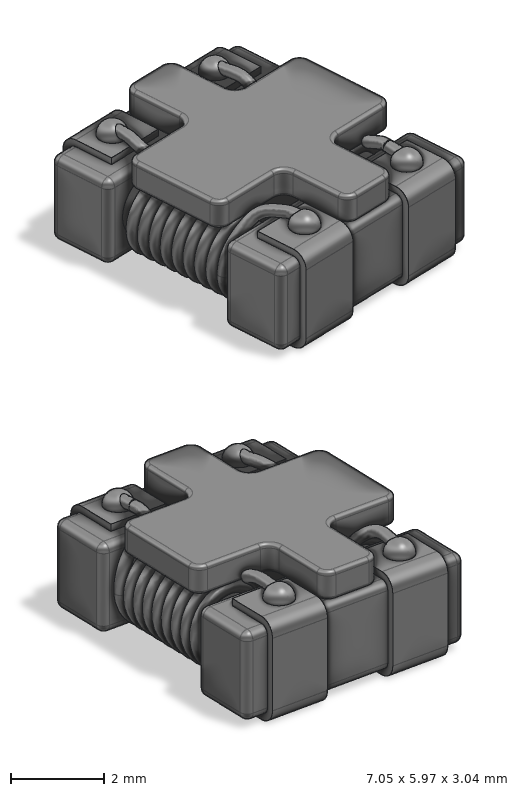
import cadquery as cq
import math

block_inner_x = 1.667
block_outer_x = 3.35
block_length = 5.97
block_bottom_z = 0.175
block_top_z = 2.348
block_fillet = 0.2

terminal_outer_x = 3.525
terminal_inner_x = 2.12
terminal_width = 1.5
terminal_y = 1.64
terminal_thickness = terminal_outer_x - block_outer_x
terminal_bottom_z = block_bottom_z - terminal_thickness
terminal_top_z = block_top_z + terminal_thickness

web_thickness = 0.43
web_bottom_z = 0.02

core_diameter = 1.5
core_y = 1.785
core_z = 1.26
wire_diameter = 0.29
coil_clearance = 0.005
coil_radius = core_diameter / 2 + wire_diameter / 2 + coil_clearance
coil_pitch = 0.33
coil_turns = 8.5
coil_circumference = 2 * math.pi * coil_radius
coil_half_length = coil_pitch * coil_turns / 2

ball_radius = 0.355
ball_x = 2.72
lead_z = 2.7

cap_half_x = 3.25
cap_half_y = 2.755
arm_half_width_x = 1.355
arm_half_width_y = 0.74
cap_top_z = 3.04
cap_corner_radius = 0.29
cap_top_fillet = 0.1
cap_bottom_fillet = 0.075


def box_between(x0, x1, y0, y1, z0, z1):
    return cq.Workplane("XY").box(x1 - x0, y1 - y0, z1 - z0, centered=False).translate((x0, y0, z0))


def end_block(side):
    """Rounded block on the +X (side = 1) or -X (side = -1) end."""
    block = box_between(
        block_inner_x, block_outer_x, -block_length / 2, block_length / 2, block_bottom_z, block_top_z
    )
    block = block.edges().fillet(block_fillet)
    return block if side > 0 else block.mirror("YZ")


def terminal(side, y):
    """C-shaped metal strip wrapped around the outer face of an end block."""
    y0 = y - terminal_width / 2
    y1 = y + terminal_width / 2
    strip = box_between(terminal_inner_x, terminal_outer_x, y0, y1, terminal_bottom_z, terminal_top_z)
    strip = strip.edges("|Y and >X").fillet(block_fillet + terminal_thickness)
    inside = box_between(terminal_inner_x, block_outer_x, y0, y1, block_bottom_z, block_top_z)
    strip = strip.cut(inside.edges("|Y and >X").fillet(block_fillet))
    return strip if side > 0 else strip.mirror("YZ")


def web():
    """Wall on the centre plane that joins the blocks and the cap."""
    return box_between(
        -terminal_inner_x, terminal_inner_x, -web_thickness / 2, web_thickness / 2, web_bottom_z, block_top_z
    )


def core(row):
    """Round bar between the end blocks, run past their rounded edges so that it joins them."""
    half_length = block_inner_x + block_fillet
    bar = cq.Workplane("YZ").center(row * core_y, core_z).circle(core_diameter / 2)
    return bar.extrude(half_length, both=True)


def solder_ball(side, y):
    """Ball centred on a terminal's top, with its seam away from the wire."""
    ball = cq.Workplane("XY").sphere(ball_radius).translate((ball_x, y, terminal_top_z))
    return ball if side > 0 else ball.mirror("YZ")


def winding(row, start_bends, start_ball_y, end_bends, end_ball_y):
    """One wire with a solder ball at each end: down to the coil, along it and up again.

    The coil begins on the inner side of the core at -X and ends on its outer side at +X.
    Bends are listed from the coil to the ball; their Y counts away from the part's centre plane.
    """
    helix = cq.Wire.makeHelix(coil_pitch, coil_pitch * coil_turns, coil_radius)
    helix = helix.rotate(cq.Vector(0, 0, 0), cq.Vector(1, 1, 1), 120)
    helix = helix.rotate(cq.Vector(0, 0, 0), cq.Vector(1, 0, 0), 180)
    helix = helix.translate(cq.Vector(-coil_half_length, core_y, core_z))

    coil_start = (-coil_half_length, core_y - coil_radius, core_z)
    coil_end = (coil_half_length, core_y + coil_radius, core_z)
    start_ball = (-ball_x, start_ball_y, lead_z)
    end_ball = (ball_x, end_ball_y, lead_z)
    along_x = cq.Vector(1, 0, 0)
    descent = cq.Vector(coil_pitch, 0, -coil_circumference).normalized()
    rise = cq.Vector(coil_pitch, 0, coil_circumference).normalized()

    start_points = [start_ball, *reversed(start_bends), coil_start]
    end_points = [coil_end, *end_bends, end_ball]
    start_lead = cq.Edge.makeSpline([cq.Vector(*p) for p in start_points], tangents=[along_x, descent])
    end_lead = cq.Edge.makeSpline([cq.Vector(*p) for p in end_points], tangents=[rise, along_x])
    path = cq.Wire.assembleEdges([start_lead, *helix.Edges(), end_lead])

    profile = cq.Workplane("YZ", origin=start_ball).circle(wire_diameter / 2)
    wire = profile.sweep(cq.Workplane(obj=path))
    wire = solder_ball(-1, start_ball_y).union(solder_ball(1, end_ball_y)).union(wire, clean=False)
    return wire if row > 0 else wire.mirror("XZ")


def cap():
    """Cross-shaped plate with rounded corners and edges, resting on the blocks."""
    along_x = box_between(
        -cap_half_x, cap_half_x, -arm_half_width_y, arm_half_width_y, block_top_z, cap_top_z
    )
    along_y = box_between(
        -arm_half_width_x, arm_half_width_x, -cap_half_y, cap_half_y, block_top_z, cap_top_z
    )
    cross = along_x.union(along_y).edges("|Z").fillet(cap_corner_radius)
    return cross.faces(">Z").edges().fillet(cap_top_fillet).faces("<Z").edges().fillet(cap_bottom_fillet)


result = cap().union(web())
for side in (-1, 1):
    result = result.union(end_block(side))
    for row in (-1, 1):
        result = result.union(terminal(side, row * terminal_y))
for row in (-1, 1):
    result = result.union(core(row))

front_winding = winding(
    row=-1,
    start_bends=[(-1.44, 0.97, 1.85), (-1.48, 1.4, 2.35), (-1.65, 1.76, 2.57), (-2.05, 1.77, 2.7)],
    start_ball_y=1.7,
    end_bends=[(1.44, 2.6, 1.75), (1.51, 2.12, 2.27), (1.78, 1.8, 2.6), (2.2, 1.63, 2.7)],
    end_ball_y=1.55,
)
back_winding = winding(
    row=1,
    start_bends=[(-1.44, 0.97, 1.85), (-1.5, 1.25, 2.3), (-1.58, 1.55, 2.55), (-1.87, 1.61, 2.7)],
    start_ball_y=1.58,
    end_bends=[(1.43, 2.6, 1.75), (1.5, 2.14, 2.3), (1.58, 1.75, 2.55), (1.9, 1.71, 2.7)],
    end_ball_y=1.72,
)
result = result.union(front_winding, clean=False).union(back_winding, clean=False).solids()